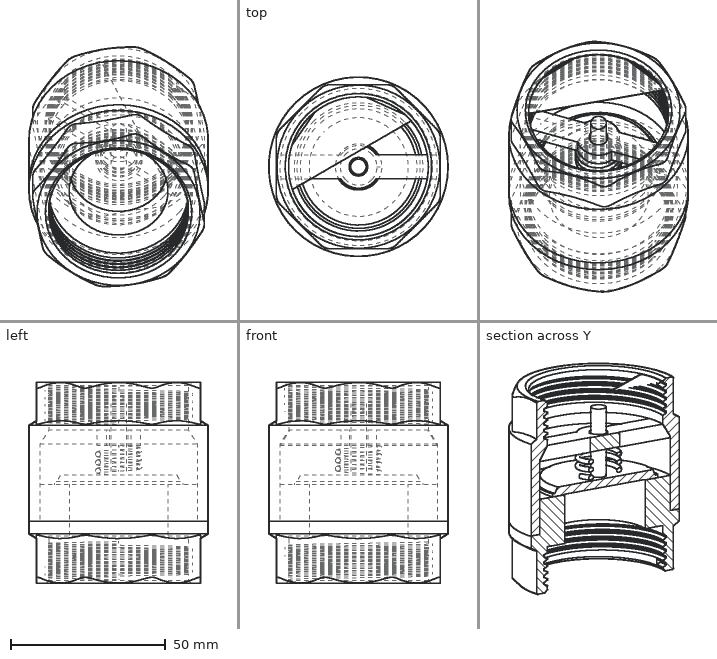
import cadquery as cq
import math


total_height = 65.0
barrel_radius = 58.0 / 2
collar_bottom = 16.0
seam_height = 20.0
barrel_top = 51.0

across_flats = 53.0
corner_radius = 4.75
end_circle_radius = 26.35
shoulder_angle = 31.5
octagon_sides = 8

thread_pitch = 2.309
thread_minor_radius = 45.16 / 2
thread_major_radius = 47.8 / 2
thread_flank_angle = 27.5
thread_turns = 4.5
thread_start_depth = 12.63
mouth_chamfer = 1.05
port_depth = 15.4

web_thickness = 0.2
web_offset = 4.3
web_tilt = 30.0
web_flats = [(48.0, 83.5), (128.5, 162.0)]

chamber_radius = 50.79 / 2
chamber_cone_height = 4.5
seat_height = 32.0
seat_passage_radius = 31.96 / 2

disc_flange_radius = 41.56 / 2
disc_flange_height = 1.0
disc_base_radius = 39.84 / 2
disc_top_radius = 37.7 / 2
disc_cone_height = 2.0
stem_radius = 5.0 / 2
stem_top = 58.0

guide_arm_width = 7.8
guide_hub_radius = 6.95
guide_hole_radius = 6.0 / 2
guide_thickness = 5.0

spring_wire_radius = 0.8
spring_outer_radius = 7.5
spring_turns = 3.0

port_floor = total_height - port_depth
disc_top = seat_height + disc_flange_height + disc_cone_height
guide_bottom = port_floor - guide_thickness


def cylinder(radius, bottom, top):
    return cq.Workplane("XY").workplane(offset=bottom).circle(radius).extrude(top - bottom)


def revolve_profile(points):
    """Turn a closed (radius, z) outline about the Z axis."""
    return cq.Workplane("XZ").polyline(points).close().revolve(360, (0, 0, 0), (0, 1, 0))


def wrench_end(inner_z):
    """Octagonal end with rounded corners, from the top face down to inner_z, its top corners turned off."""
    height = total_height - inner_z
    octagon = (
        cq.Workplane("XY")
        .workplane(offset=inner_z)
        .polygon(octagon_sides, across_flats, circumscribed=True)
        .extrude(height)
        .edges("|Z")
        .fillet(corner_radius)
    )
    turned_cone = revolve_profile([
        (0, inner_z),
        (end_circle_radius + height, inner_z),
        (end_circle_radius, total_height),
        (0, total_height),
    ])
    return octagon.intersect(turned_cone)


def outer_shell(barrel_bottom, barrel_end):
    """Barrel with a conical shoulder that runs up into the octagonal end."""
    shoulder_inner_radius = across_flats / 2 - corner_radius
    shoulder_rise = (barrel_radius - shoulder_inner_radius) * math.tan(math.radians(shoulder_angle))
    barrel = revolve_profile([
        (0, barrel_bottom),
        (barrel_radius, barrel_bottom),
        (barrel_radius, barrel_end),
        (shoulder_inner_radius, barrel_end + shoulder_rise),
        (0, barrel_end + shoulder_rise),
    ])
    return barrel.union(wrench_end(barrel_bottom))


def port_bore():
    """Plain bore of the upper port with its mouth chamfer."""
    return revolve_profile([
        (0, port_floor),
        (thread_minor_radius, port_floor),
        (thread_minor_radius, total_height - mouth_chamfer),
        (thread_minor_radius + mouth_chamfer, total_height),
        (0, total_height),
    ])


def port_thread():
    """Helical groove of the upper port, with a flat root and straight flanks."""
    overlap = 0.2
    flank_slope = math.tan(math.radians(thread_flank_angle))
    flank_run = (thread_major_radius - thread_minor_radius) * flank_slope
    root_half = (thread_pitch / 2 - flank_run) / 2
    mouth_half = root_half + flank_run + overlap * flank_slope
    mouth_radius = thread_minor_radius - overlap
    helix = cq.Wire.makeHelix(thread_pitch, thread_turns * thread_pitch, thread_minor_radius)
    groove = (
        cq.Workplane("XZ")
        .polyline([
            (mouth_radius, -mouth_half),
            (thread_major_radius, -root_half),
            (thread_major_radius, root_half),
            (mouth_radius, mouth_half),
        ])
        .close()
        .sweep(cq.Workplane(helix), isFrenet=True)
    )
    return groove.translate((0, 0, total_height - thread_start_depth))


def flip_to_bottom(shape):
    """Turn an upper-end shape over so that it lies at the lower end."""
    return shape.mirror("XY").translate((0, 0, total_height))


def mouth_web():
    """Thin segment-shaped web just under the mouth chamfer, with two flats on its round edge."""
    web_bottom = total_height - mouth_chamfer - web_thickness
    web = cylinder(thread_minor_radius, web_bottom, web_bottom + web_thickness)
    span = 2 * thread_minor_radius
    open_side = (
        cq.Workplane("XY")
        .box(2 * span, span, total_height, centered=(True, False, False))
        .translate((0, web_offset - span, 0))
        .rotate((0, 0, 0), (0, 0, 1), web_tilt)
    )
    web = web.cut(open_side)
    for start, end in web_flats:
        flat_distance = thread_minor_radius * math.cos(math.radians((end - start) / 2))
        trim = (
            cq.Workplane("XY")
            .box(span, span, total_height, centered=(False, True, False))
            .translate((flat_distance, 0, 0))
            .rotate((0, 0, 0), (0, 0, 1), (start + end) / 2)
        )
        web = web.cut(trim)
    return web


def chamber():
    """Space between the housing's lower face and its port, closing in as a cone at the top."""
    return revolve_profile([
        (0, seam_height),
        (chamber_radius, seam_height),
        (chamber_radius, port_floor - chamber_cone_height),
        (thread_minor_radius, port_floor),
        (0, port_floor),
    ])


def make_housing():
    shell = outer_shell(seam_height, barrel_top)
    return shell.cut(chamber()).cut(port_bore()).cut(port_thread()).union(mouth_web())


def make_end_cap():
    """Inlet cap: octagonal end, collar and a spigot that fills the lower chamber and carries the seat."""
    shell = flip_to_bottom(outer_shell(total_height - seam_height, total_height - collar_bottom))
    spigot = cylinder(chamber_radius, seam_height, seat_height)
    passage = cylinder(seat_passage_radius, 0, seat_height)
    cap = shell.union(spigot).cut(passage)
    return cap.cut(flip_to_bottom(port_bore())).cut(flip_to_bottom(port_thread()))


def make_valve_disc():
    """Disc with a bevelled rim over a thin flange, and the stem on top."""
    flange_top = seat_height + disc_flange_height
    return revolve_profile([
        (0, seat_height),
        (disc_flange_radius, seat_height),
        (disc_flange_radius, flange_top),
        (disc_base_radius, flange_top),
        (disc_top_radius, disc_top),
        (stem_radius, disc_top),
        (stem_radius, stem_top),
        (0, stem_top),
    ])


def make_stem_guide():
    """Bar across the top of the chamber with a round hub and the stem hole."""
    bar = (
        cq.Workplane("XY")
        .workplane(offset=guide_bottom)
        .rect(2 * barrel_radius, guide_arm_width)
        .extrude(guide_thickness)
        .intersect(chamber())
    )
    hub = cylinder(guide_hub_radius, guide_bottom, port_floor)
    hole = cylinder(guide_hole_radius, guide_bottom, port_floor)
    return bar.union(hub).cut(hole)


def make_spring():
    """Coil spring between the disc and the stem guide."""
    coil_radius = spring_outer_radius - spring_wire_radius
    coil_height = guide_bottom - disc_top - 2 * spring_wire_radius
    helix = cq.Wire.makeHelix(coil_height / spring_turns, coil_height, coil_radius)
    coil = (
        cq.Workplane("XZ")
        .center(coil_radius, 0)
        .circle(spring_wire_radius)
        .sweep(cq.Workplane(helix), isFrenet=True)
    )
    return coil.translate((0, 0, disc_top + spring_wire_radius))


housing = make_housing()
end_cap = make_end_cap()
valve_disc = make_valve_disc()
stem_guide = make_stem_guide()
spring = make_spring()

result = cq.Compound.makeCompound([
    housing.val(),
    end_cap.val(),
    valve_disc.val(),
    stem_guide.val(),
    spring.val(),
])